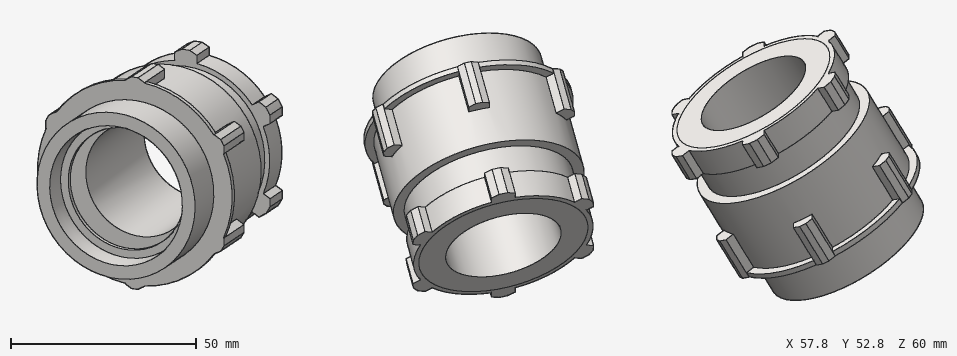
import cadquery as cq
import math

NUT_FRONT = 12.05
RIM_BACK = 13.55
JOINT = 15.3
NUT_RIB_BACK = 25.0
NUT_BACK = 36.0
COLLAR_FRONT = 44.8
COLLAR_BACK = 52.8

PIPE_RADIUS = 23.45
BORE_RADIUS = 16.0

SOCKET_MOUTH_RADIUS = 19.7
SOCKET_END_RADIUS = 19.5
SOCKET_DEPTH = 6.6
LIP_RADIUS = 17.2
LIP_BACK = 7.9
CHAMBER_RADIUS = 22.45

NUT_RADIUS = 26.45
RIM_DIAMETER = 57.8
RIM_RADIUS = RIM_DIAMETER / 2
NUT_RIB_TOP = 30.0
NUT_RIB_SHOULDER = 28.85
NUT_RIB_WIDTH = 5.75
NUT_RIB_TOP_WIDTH = 1.9

COLLAR_RADIUS = 24.9
COLLAR_RIB_TOP = 28.15
COLLAR_RIB_SHOULDER = 27.0
COLLAR_RIB_WIDTH = 6.6
COLLAR_RIB_TOP_WIDTH = 2.4

RIB_COUNT = 6
RIB_ROOT_OVERLAP = 0.6


def disc(radius, y_start, y_end):
    """Solid cylinder on the Y axis between two positions."""
    plane = cq.Plane(origin=(0, y_start, 0), xDir=(0, 0, 1), normal=(0, 1, 0))
    return cq.Workplane(plane).circle(radius).extrude(y_end - y_start)


def rib(base_radius, shoulder, top, width, top_width, y_start, y_end):
    """One rib on the +Z side: straight flanks, sloped shoulders and a rounded top."""
    half = width / 2
    half_top = top_width / 2
    root = math.sqrt(base_radius**2 - half**2) - RIB_ROOT_OVERLAP
    edge = math.sqrt(top**2 - half_top**2)
    plane = cq.Plane(origin=(0, y_start, 0), xDir=(-1, 0, 0), normal=(0, 1, 0))
    return (
        cq.Workplane(plane)
        .moveTo(-half, root)
        .lineTo(-half, shoulder)
        .lineTo(-half_top, edge)
        .threePointArc((0, top), (half_top, edge))
        .lineTo(half, shoulder)
        .lineTo(half, root)
        .close()
        .extrude(y_end - y_start)
    )


def add_ribs(body, one_rib):
    """Join equally spaced copies of a rib to a body."""
    for i in range(RIB_COUNT):
        body = body.union(one_rib.rotate((0, 0, 0), (0, 1, 0), i * 360 / RIB_COUNT))
    return body


def make_tailpiece():
    """Front pipe end with a tapered socket, a stop lip and a conical chamber behind it."""
    wall = [
        (0, PIPE_RADIUS),
        (0, SOCKET_MOUTH_RADIUS),
        (SOCKET_DEPTH, SOCKET_END_RADIUS),
        (SOCKET_DEPTH, LIP_RADIUS),
        (LIP_BACK, LIP_RADIUS),
        (JOINT, CHAMBER_RADIUS),
        (JOINT, PIPE_RADIUS),
    ]
    return cq.Workplane("YZ").polyline(wall).close().revolve(360, (0, 0), (1, 0))


def make_rear_pipe():
    """Plain pipe that starts at the joint and carries the collar."""
    return disc(PIPE_RADIUS, JOINT, COLLAR_BACK).cut(disc(BORE_RADIUS, JOINT, COLLAR_BACK))


def make_union_nut():
    """Sleeve over the joint with a thin front rim and six grip ribs."""
    nut = disc(NUT_RADIUS, NUT_FRONT, NUT_BACK).union(disc(RIM_RADIUS, NUT_FRONT, RIM_BACK))
    nut_rib = rib(
        NUT_RADIUS, NUT_RIB_SHOULDER, NUT_RIB_TOP, NUT_RIB_WIDTH, NUT_RIB_TOP_WIDTH,
        NUT_FRONT, NUT_RIB_BACK,
    )
    return add_ribs(nut, nut_rib).cut(disc(PIPE_RADIUS, NUT_FRONT, NUT_BACK))


def make_collar():
    """Ribbed ring around the back end of the rear pipe."""
    ring = disc(COLLAR_RADIUS, COLLAR_FRONT, COLLAR_BACK)
    collar_rib = rib(
        COLLAR_RADIUS, COLLAR_RIB_SHOULDER, COLLAR_RIB_TOP, COLLAR_RIB_WIDTH, COLLAR_RIB_TOP_WIDTH,
        COLLAR_FRONT, COLLAR_BACK,
    )
    return add_ribs(ring, collar_rib).cut(disc(PIPE_RADIUS, COLLAR_FRONT, COLLAR_BACK))


tailpiece = make_tailpiece()
rear_pipe = make_rear_pipe()
union_nut = make_union_nut()
collar = make_collar()

result = cq.Compound.makeCompound(
    [tailpiece.val(), rear_pipe.val(), union_nut.val(), collar.val()]
)